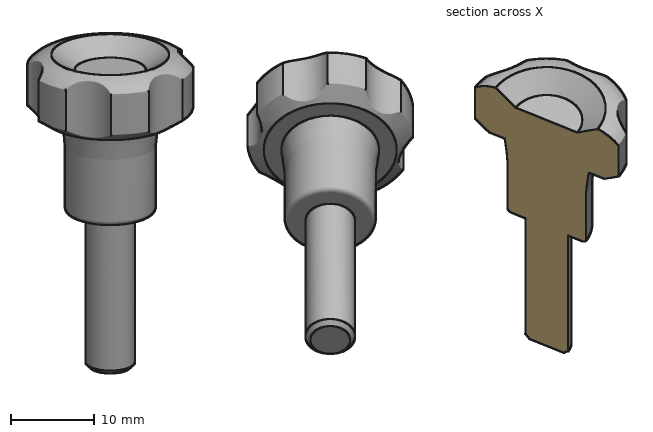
import cadquery as cq
import math

total_height = 40.0
head_height = 8.0
sleeve_bottom = 20.0
head_bottom = total_height - head_height

stud_radius = 3.0
stud_chamfer = 0.6

sleeve_radius = 11.0 / 2
sleeve_fillet = 0.6
neck_top_radius = 5.88
neck_height = 3.48

head_radius = 10.0
top_land_radius = 7.2
top_shoulder_height = 1.4
top_shoulder_bulge = 0.26
bottom_land_radius = 8.0
bottom_bevel_height = 1.35
flute_count = 6
flute_radius = 4.15
flute_floor_radius = 17.0 / 2
flute_center_radius = flute_floor_radius + flute_radius
shoulder_fillet = 0.1
lower_seam_margin = 0.25
upper_seam_margin = 0.28

dish_rim_radius = 7.08
dish_floor_radius = 4.28
dish_depth = 1.95


def make_stud():
    stud = cq.Workplane("XY").circle(stud_radius).extrude(head_bottom)
    return stud.faces("<Z").chamfer(stud_chamfer)


def make_sleeve():
    sleeve = cq.Workplane("XY", origin=(0, 0, sleeve_bottom))
    sleeve = sleeve.circle(sleeve_radius).extrude(head_bottom - sleeve_bottom)
    return sleeve.faces("<Z").edges().fillet(sleeve_fillet)


def make_neck():
    neck_bottom = head_bottom - neck_height
    profile = (
        cq.Workplane("XZ")
        .moveTo(0, neck_bottom)
        .lineTo(sleeve_radius, neck_bottom)
        .lineTo(neck_top_radius, head_bottom)
        .lineTo(0, head_bottom)
        .close()
    )
    return profile.revolve(360, (0, 0, 0), (0, 1, 0))


def make_head_blank():
    """Disc with a beveled underside and a convex top shoulder."""
    run = head_radius - top_land_radius
    slope_length = math.hypot(run, top_shoulder_height)
    shoulder_middle = (
        (head_radius + top_land_radius) / 2 + top_shoulder_bulge * top_shoulder_height / slope_length,
        total_height - top_shoulder_height / 2 + top_shoulder_bulge * run / slope_length,
    )
    profile = (
        cq.Workplane("XZ")
        .moveTo(0, head_bottom)
        .lineTo(bottom_land_radius, head_bottom)
        .lineTo(head_radius, head_bottom + bottom_bevel_height)
        .lineTo(head_radius, total_height - top_shoulder_height)
        .threePointArc(shoulder_middle, (top_land_radius, total_height))
        .lineTo(0, total_height)
        .close()
    )
    return profile.revolve(360, (0, 0, 0), (0, 1, 0))


def make_flutes():
    flutes = cq.Workplane("XY", origin=(0, 0, head_bottom))
    flutes = flutes.polarArray(flute_center_radius, 0, 360, flute_count)
    return flutes.circle(flute_radius).extrude(head_height)


def make_dish():
    """Recess with a flat floor and a conical wall."""
    floor = total_height - dish_depth
    profile = (
        cq.Workplane("XZ")
        .moveTo(0, floor)
        .lineTo(dish_floor_radius, floor)
        .lineTo(dish_rim_radius, total_height)
        .lineTo(0, total_height)
        .close()
    )
    return profile.revolve(360, (0, 0, 0), (0, 1, 0))


def soften_shoulders(head):
    """Round the edges where the lobes and flutes meet the top shoulder and the bottom bevel."""
    shoulder_box = cq.selectors.BoxSelector(
        (-head_radius, -head_radius, head_bottom + lower_seam_margin),
        (head_radius, head_radius, total_height - upper_seam_margin),
    )
    shoulder_edges = shoulder_box - cq.selectors.ParallelDirSelector(cq.Vector(0, 0, 1))
    return head.edges(shoulder_edges).fillet(shoulder_fillet)


head = soften_shoulders(make_head_blank().cut(make_flutes())).cut(make_dish())
result = head.union(make_neck()).union(make_sleeve()).union(make_stud())